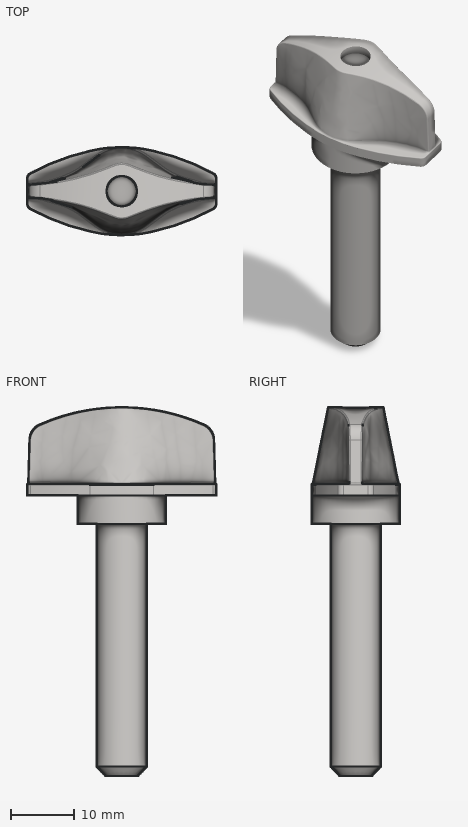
import cadquery as cq
import math

shank_length = 40.0
collar_height = 4.5
head_height = 14.0
flange_z = collar_height
flange_thickness = 1.8
flange_top_z = flange_z + flange_thickness
head_top_z = flange_z + head_height

shank_diameter = 8.0
tip_diameter = 5.0
tip_height = 1.55
collar_diameter = 14.0

flange_half_length = 15.0
flange_half_width = collar_diameter / 2
flange_arc_x = 5.0
flange_arc_y = 6.4
flange_side_mid_x = 10.0
flange_side_mid_y = 4.9
flange_end_y = 2.55
flange_corner_radius = 1.0
flange_edge_radius = 0.15

wing_end_x = flange_half_length
root_fillet_radius = 0.3
root_half_width = 6.83
root_end_half_width = 1.0
root_nose_radius = 6.8
crown_half_width = 4.4
crown_end_half_width = 1.1
crown_nose_radius = 3.2
hollow_steps = 4

profile_foot_half_length = 14.9
profile_shoulder_half_length = 14.6
crown_arc_radius = 32.0
profile_corner_radius = 2.8
wing_edge_radius = 0.2

recess_diameter = 4.8
recess_depth = 1.5

select_margin = 0.01


def make_shank():
    """Shank with a tapered tip, pointing down from the collar."""
    shank_radius = shank_diameter / 2
    return (
        cq.Workplane("XZ")
        .moveTo(0, 0)
        .lineTo(shank_radius, 0)
        .lineTo(shank_radius, tip_height - shank_length)
        .lineTo(tip_diameter / 2, -shank_length)
        .lineTo(0, -shank_length)
        .close()
        .revolve(360, (0, 0), (0, 1))
    )


def make_collar():
    return cq.Workplane("XY").circle(collar_diameter / 2).extrude(collar_height)


def make_flange():
    """Lens-shaped plate with rounded corners, sitting on the collar."""
    return (
        cq.Workplane("XY", origin=(0, 0, flange_z))
        .moveTo(-flange_half_length, flange_end_y)
        .threePointArc((-flange_side_mid_x, flange_side_mid_y), (-flange_arc_x, flange_arc_y))
        .threePointArc((0, flange_half_width), (flange_arc_x, flange_arc_y))
        .threePointArc((flange_side_mid_x, flange_side_mid_y), (flange_half_length, flange_end_y))
        .lineTo(flange_half_length, -flange_end_y)
        .threePointArc((flange_side_mid_x, -flange_side_mid_y), (flange_arc_x, -flange_arc_y))
        .threePointArc((0, -flange_half_width), (-flange_arc_x, -flange_arc_y))
        .threePointArc((-flange_side_mid_x, -flange_side_mid_y), (-flange_half_length, -flange_end_y))
        .close()
        .extrude(flange_thickness)
        .edges("|Z and (<X or >X)")
        .fillet(flange_corner_radius)
    )


def wing_outline(z, half_width, end_half_width, nose_radius):
    """Closed plan outline: a round nose on each side, swept by hollow arcs to thin ends.

    Each hollow arc touches the nose tangentially and runs parallel to X at the wing end.
    """
    rise = half_width - end_half_width
    hollow_radius = (wing_end_x**2 + rise**2 - 2 * nose_radius * rise) / (2 * rise)
    nose_y = half_width - nose_radius
    hollow_y = end_half_width + hollow_radius
    touch_angle = math.asin(wing_end_x / (nose_radius + hollow_radius))

    left_half = []
    for step in range(hollow_steps + 1):
        angle = touch_angle * step / hollow_steps
        x = hollow_radius * math.sin(angle) - wing_end_x
        left_half.append((x, hollow_y - hollow_radius * math.cos(angle)))
    nose_angle = touch_angle / 2
    left_half.append((-nose_radius * math.sin(nose_angle), nose_y + nose_radius * math.cos(nose_angle)))

    right_half = [(-x, y) for x, y in reversed(left_half)]
    back = left_half + [(0, half_width)] + right_half
    front = [(-x, -y) for x, y in back]
    return (
        cq.Workplane("XY", origin=(0, 0, z))
        .moveTo(*back[0])
        .spline(back[1:], tangents=[(1, 0), (1, 0)], includeCurrent=True)
        .lineTo(*front[0])
        .spline(front[1:], tangents=[(-1, 0), (-1, 0)], includeCurrent=True)
        .close()
        .val()
    )


def make_wing_profile():
    """Side silhouette of the wing as a prism along Y."""
    arch_drop = crown_arc_radius - math.sqrt(crown_arc_radius**2 - profile_shoulder_half_length**2)
    arch_end_z = head_top_z - arch_drop
    return (
        cq.Workplane("XZ")
        .moveTo(-profile_foot_half_length, flange_z)
        .lineTo(-profile_shoulder_half_length, arch_end_z)
        .threePointArc((0, head_top_z), (profile_shoulder_half_length, arch_end_z))
        .lineTo(profile_foot_half_length, flange_z)
        .close()
        .extrude(collar_diameter, both=True)
        .edges("|Y")
        .edges(">Z")
        .fillet(profile_corner_radius)
    )


def make_wing():
    """Hollow-sided wing with softened edges along both sides."""
    root = wing_outline(flange_top_z, root_half_width, root_end_half_width, root_nose_radius)
    crown = wing_outline(head_top_z, crown_half_width, crown_end_half_width, crown_nose_radius)
    body = cq.Workplane(cq.Solid.makeLoft([root, crown], True)).intersect(make_wing_profile())

    side_edges = (
        body.edges()
        .filter(lambda edge: edge.Center().z > flange_top_z + select_margin)
        .filter(lambda edge: abs(edge.Center().y) > root_end_half_width / 2)
    )
    return side_edges.fillet(wing_edge_radius)


def make_head():
    """Flange and wing blended together, with the recess sunk into the crown."""
    flange = make_flange().faces(">Z").edges().fillet(flange_edge_radius)
    head = flange.union(make_wing())

    box_x = flange_half_length - flange_edge_radius - select_margin
    box_y = (root_half_width + root_end_half_width) / 2
    root_box = cq.selectors.BoxSelector(
        (-box_x, -box_y, flange_top_z - select_margin),
        (box_x, box_y, flange_top_z + select_margin),
    )
    head = head.edges(root_box).fillet(root_fillet_radius)

    recess = (
        cq.Workplane("XY", origin=(0, 0, head_top_z - recess_depth))
        .circle(recess_diameter / 2)
        .extrude(head_height)
    )
    return head.cut(recess)


result = make_shank().union(make_collar()).union(make_head())